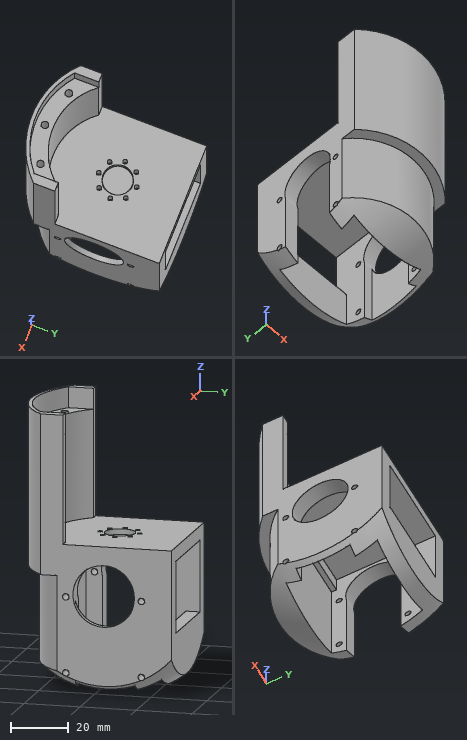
import cadquery as cq
import math

width = 45.1
back_y = 24.2
total_height = 98.8
half_width = width / 2

collar_radius = 31.8
collar_bottom_z = 41.8
collar_back_y = -14.5
shield_wall = 1.5
shield_inner_radius = collar_radius - shield_wall
shield_pocket_width = 38.4
bore_radius = 24.0
ledge_z = 91.4
platform_z = 53.0

ledge_hole_diameter = 2.6
ledge_hole_circle_radius = 27.0
ledge_hole_spacing = 30.0
ledge_hole_depth = 9.9
ledge_hole_tip_angle = 118.0

housing_radius = 28.0
dome_radius = 39.5

cavity_half_width = 16.5
cavity_front_y = -16.5
back_wall = 5.0
cavity_back_y = back_y - back_wall
top_plate = 5.0
cavity_top_z = platform_z - top_plate
dome_center_z = math.sqrt(dome_radius**2 - cavity_front_y**2)
back_window_bottom_z = 22.4

side_bore_diameter = 21.8
side_bore_z = 35.4
channel_width = 21.2
channel_end_x = 20.4

side_hole_diameter = 2.3
side_hole_spacing = 27.0
side_hole_center_z = 21.0

recess_diameter = 10.8
recess_depth = 2.0
platform_hole_diameter = 1.6
platform_hole_circle_radius = 7.0
platform_hole_count = 8


def block(x_range, y_range, z_range):
    """Box spanning the given limits on each axis."""
    (x0, x1), (y0, y1), (z0, z1) = x_range, y_range, z_range
    return cq.Workplane("XY").box(x1 - x0, y1 - y0, z1 - z0, centered=False).translate((x0, y0, z0))


def cylinder(diameter, z0, z1, x=0, y=0):
    """Vertical cylinder between two heights."""
    return cq.Workplane("XY", origin=(x, y, z0)).circle(diameter / 2).extrude(z1 - z0)


def round_front(radius, y_back, z0, z1):
    """Full-width prism with a flat back and a round front centred on the Z axis."""
    side_y = -math.sqrt(radius**2 - half_width**2)
    return (
        cq.Workplane("XY", origin=(0, 0, z0))
        .moveTo(-half_width, y_back)
        .lineTo(-half_width, side_y)
        .threePointArc((0, -radius), (half_width, side_y))
        .lineTo(half_width, y_back)
        .close()
        .extrude(z1 - z0)
    )


def across(diameter, y, z):
    """Cylinder along X through the whole width."""
    return (
        cq.Workplane("YZ", origin=(-half_width, y, z)).circle(diameter / 2).extrude(width)
    )


def make_housing():
    dome_bottom_z = dome_center_z - dome_radius
    body = round_front(housing_radius, back_y, dome_bottom_z, platform_z)
    dome = cq.Workplane("XY").sphere(dome_radius).translate((0, 0, dome_center_z))
    above_dome = block((-half_width, half_width), (-collar_radius, back_y), (dome_center_z, platform_z))
    body = body.intersect(dome.union(above_dome))
    cavity_x = (-cavity_half_width, cavity_half_width)
    cavity = block(cavity_x, (cavity_front_y, cavity_back_y), (dome_bottom_z, cavity_top_z))
    window = block(cavity_x, (cavity_back_y, back_y), (back_window_bottom_z, cavity_top_z))
    channel = block(
        (-half_width, channel_end_x), (-channel_width / 2, channel_width / 2), (dome_bottom_z, side_bore_z)
    )
    return body.cut(cavity).cut(window).cut(channel)


def make_collar():
    collar = round_front(collar_radius, collar_back_y, collar_bottom_z, total_height)
    bore = cylinder(2 * bore_radius, platform_z, total_height)
    pocket = cylinder(2 * shield_inner_radius, ledge_z, total_height).intersect(
        block(
            (-shield_pocket_width / 2, shield_pocket_width / 2),
            (-collar_radius, collar_back_y),
            (ledge_z, total_height),
        )
    )
    return collar.cut(bore).cut(pocket)


def ledge_drill(x, y):
    """Blind hole in the ledge with a conical drill point."""
    radius = ledge_hole_diameter / 2
    shoulder_z = ledge_z - ledge_hole_depth
    tip_z = shoulder_z - radius / math.tan(math.radians(ledge_hole_tip_angle / 2))
    profile = (
        cq.Workplane("XZ")
        .polyline([(0, tip_z), (radius, shoulder_z), (radius, ledge_z), (0, ledge_z)])
        .close()
    )
    return profile.revolve(360, (0, 0, 0), (0, 1, 0)).translate((x, y, 0))


def cut_ledge_holes(body):
    for step in (-1, 0, 1):
        angle = math.radians(step * ledge_hole_spacing)
        x = ledge_hole_circle_radius * math.sin(angle)
        y = -ledge_hole_circle_radius * math.cos(angle)
        body = body.cut(ledge_drill(x, y))
    return body


def cut_side_openings(body):
    body = body.cut(across(side_bore_diameter, 0, side_bore_z))
    offset = side_hole_spacing / 2
    for y in (-offset, offset):
        for z in (side_hole_center_z - offset, side_hole_center_z + offset):
            body = body.cut(across(side_hole_diameter, y, z))
    return body


def cut_platform_holes(body):
    body = body.cut(cylinder(recess_diameter, platform_z - recess_depth, platform_z))
    for index in range(platform_hole_count):
        angle = 2 * math.pi * index / platform_hole_count
        x = platform_hole_circle_radius * math.cos(angle)
        y = platform_hole_circle_radius * math.sin(angle)
        body = body.cut(cylinder(platform_hole_diameter, cavity_top_z, platform_z, x, y))
    return body


result = make_housing().union(make_collar())
result = cut_ledge_holes(result)
result = cut_side_openings(result)
result = cut_platform_holes(result)